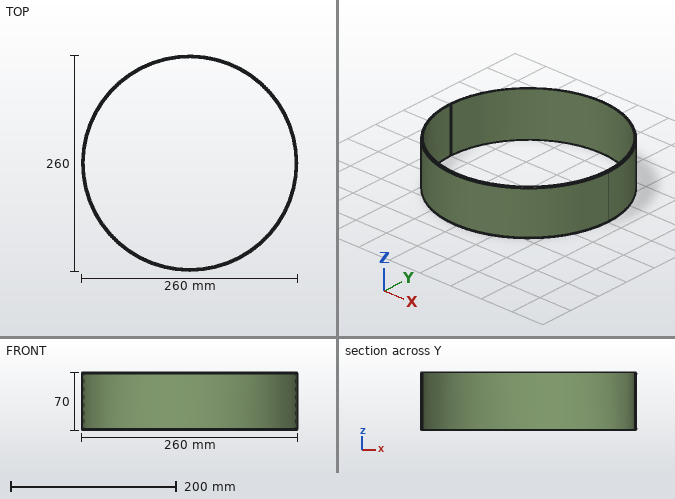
import cadquery as cq

outer_diameter = 260.0
height = 70.0
wall = 2.5
bevel_height = 1.8
bevel_depth = 0.65
split_width = 2.0
split_offset = split_width / 2

outer_radius = outer_diameter / 2
inner_radius = outer_radius - wall
rim_radius = outer_radius - bevel_depth

wall_section = [
    (inner_radius, 0),
    (rim_radius, 0),
    (outer_radius, bevel_height),
    (outer_radius, height - bevel_height),
    (rim_radius, height),
    (inner_radius, height),
]
band = (
    cq.Workplane("XZ")
    .polyline(wall_section)
    .close()
    .revolve(360, (0, 0, 0), (0, 1, 0))
)

split_length = 4 * wall
split = (
    cq.Workplane("XY")
    .center(-outer_radius, split_offset)
    .rect(split_length, split_width)
    .extrude(height)
)

result = band.cut(split)